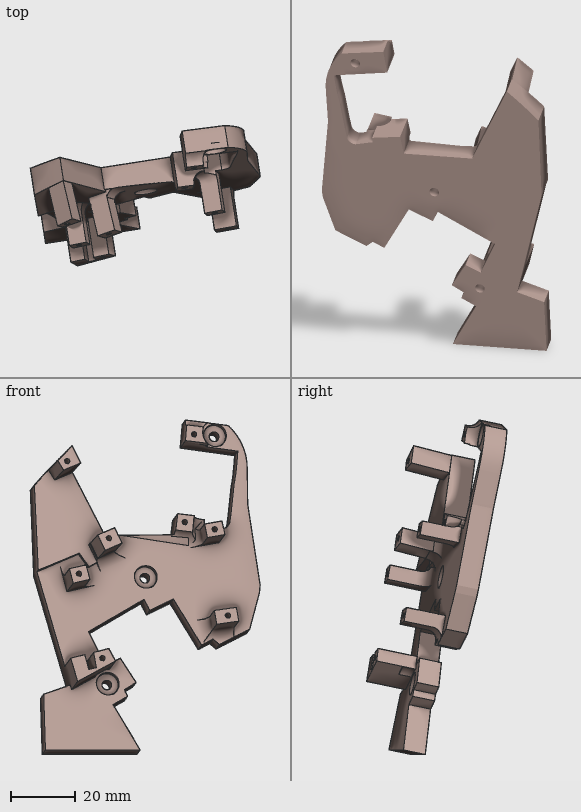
import cadquery as cq


lean_back = 11.7
swing = 8.8
middle_hole_position = (0.2, 1.18, 3.2)

plate_thickness = 7.0
top_edge = 13.2
left_corner = (-34.1, 1.6)
foot_notch = (-24.8, -34.2)
left_shoulder = (-34.3, 28.8)
left_bulge = (-29.9, 33.5)
left_peak = (-24.7, 38.5)
pad_right = (-12.6, top_edge)

screw_hole_diameter = 3.0
screw_head_diameter = 7.1
screw_head_depth = 2.0
clearance_diameter = 9.0
screw_positions = [(0.0, 0.0), (23.1, 44.8), (-13.0, -33.8)]

post_height = 12.5
tall_post_height = 13.1
stub_height = 4.1
pin_hole_diameter = 1.6
pin_hole_depth = 6.0
cove_radius = 3.4

pad_height_at_origin = 0.25
pad_slope_x = 0.075
pad_slope_y = 0.043

gusset_left = -7.6
gusset_right = 13.7
gusset_foot = 9.9
gusset_height = 1.1

oversize = 100.0

flat_plane = cq.Plane.XY()
pad_plane = cq.Plane(
    origin=(0, 0, pad_height_at_origin),
    xDir=(1, 0, -pad_slope_x),
    normal=(pad_slope_x, pad_slope_y, 1),
)

posts = [
    (flat_plane, (-22.8, -1.8), 5.4, 4.7, 13, tall_post_height, ("top", "right"), (-23.0, -1.7)),
    (flat_plane, (20.1, 12.5), 5.6, 4.4, 10, post_height, ("left", "top"), (20.1, 12.5)),
    (flat_plane, (22.95, -14.9), 7.0, 4.4, 8, post_height, ("left", "bottom"), (23.4, -14.8)),
    (flat_plane, (11.9, 16.6), 6.0, 5.8, -7, stub_height, ("right", "bottom"), (12.1, 16.5)),
    (flat_plane, (17.4, 44.3), 9.6, 5.0, -7, stub_height, ("top", "bottom"), (15.9, 44.3)),
    (pad_plane, (-13.95, 8.7), 6.0, 5.35, 24, post_height, ("right", "bottom"), (-14.25, 8.95)),
]

peak_post_outline = [(-24.75, 38.4), (-22.2, 32.9), (-27.75, 30.5), (-29.6, 33.6)]
peak_post_pin = (-26.5, 33.4)
forked_post_pin = (-16.4, -28.3)


def on_left_edge(y):
    """Point at height y on the line from the left corner through the foot notch."""
    share = (y - left_corner[1]) / (foot_notch[1] - left_corner[1])
    return (left_corner[0] + share * (foot_notch[0] - left_corner[0]), y)


forked_post_outline = [
    on_left_edge(-28.3),
    (-21.9, -27.2),
    (-20.8, -31.9),
    (-18.4, -31.3),
    (-19.1, -26.5),
    (-14.3, -25.2),
    (-12.3, -29.2),
    on_left_edge(-35.7),
]


def plate_outline():
    return (
        cq.Workplane(flat_plane)
        .moveTo(-33.2, -54.75)
        .lineTo(-33.2, -37.1)
        .lineTo(*foot_notch)
        .lineTo(*left_corner)
        .lineTo(*left_shoulder)
        .threePointArc(left_bulge, left_peak)
        .lineTo(*pad_right)
        .lineTo(9.1, top_edge)
        .lineTo(10.0, 19.2)
        .lineTo(18.9, 18.1)
        .lineTo(18.9, 16.5)
        .lineTo(24.3, 15.3)
        .threePointArc((25.9, 15.9), (26.9, 17.4))
        .lineTo(27.4, 20.4)
        .lineTo(28.6, 29.3)
        .lineTo(29.3, 33.0)
        .lineTo(29.8, 36.9)
        .lineTo(30.1, 39.8)
        .lineTo(13.1, 42.2)
        .lineTo(14.0, 49.65)
        .lineTo(27.3, 47.95)
        .threePointArc((31.2, 42.6), (32.9, 34.0))
        .lineTo(32.7, 23.0)
        .lineTo(35.8, -2.6)
        .lineTo(35.5, -5.0)
        .lineTo(32.1, -16.5)
        .lineTo(22.4, -21.4)
        .lineTo(20.4, -19.7)
        .lineTo(16.8, -21.6)
        .lineTo(8.4, -7.0)
        .lineTo(0.9, -10.6)
        .lineTo(-0.8, -7.1)
        .lineTo(-18.5, -17.3)
        .lineTo(-13.5, -28.0)
        .lineTo(-8.8, -25.7)
        .lineTo(-4.1, -33.4)
        .lineTo(-7.8, -35.7)
        .lineTo(-6.9, -37.8)
        .lineTo(-11.5, -40.4)
        .lineTo(-3.5, -54.75)
        .close()
    )


def make_pad():
    blank = (
        cq.Workplane(flat_plane)
        .moveTo(*left_corner)
        .lineTo(*left_shoulder)
        .threePointArc(left_bulge, left_peak)
        .lineTo(*pad_right)
        .lineTo(-10.3, 7.2)
        .lineTo(-18.0, 2.9)
        .lineTo(-20.9, 7.2)
        .close()
        .extrude(post_height)
    )
    above_pad = cq.Workplane(pad_plane).rect(oversize, oversize).extrude(oversize)
    return blank.cut(above_pad)


def make_gusset():
    left = cq.Vector(gusset_left, top_edge, 0)
    right = cq.Vector(gusset_right, top_edge, 0)
    foot = cq.Vector(gusset_right, gusset_foot, 0)
    crest = cq.Vector(gusset_right, top_edge, gusset_height)
    triangles = [(left, right, foot), (left, right, crest), (right, foot, crest), (left, foot, crest)]
    faces = [cq.Face.makeFromWires(cq.Wire.makePolygon(corners, close=True)) for corners in triangles]
    return cq.Workplane(cq.Solid.makeSolid(cq.Shell.makeShell(faces)))


def make_post(plane, center, width, depth, turn, height):
    return (
        cq.Workplane(plane)
        .center(*center)
        .transformed(rotate=(0, 0, turn))
        .rect(width, depth)
        .extrude(height)
    )


def make_coves(center, width, depth, turn, sides):
    """Skirt around a post whose listed sides sweep up from the plate in a quarter circle."""
    reach = {side: cove_radius if side in sides else 0 for side in ("left", "right", "bottom", "top")}
    left = -width / 2 - reach["left"]
    right = width / 2 + reach["right"]
    bottom = -depth / 2 - reach["bottom"]
    top = depth / 2 + reach["top"]
    skirt = cq.Workplane(flat_plane).box(right - left, top - bottom, cove_radius, centered=False)
    skirt = skirt.translate((left, bottom, 0))
    rollers = {
        "left": ("XZ", left),
        "right": ("XZ", right),
        "bottom": ("YZ", bottom),
        "top": ("YZ", top),
    }
    for side in sides:
        plane, edge = rollers[side]
        roller = cq.Workplane(plane).center(edge, cove_radius).circle(cove_radius)
        skirt = skirt.cut(roller.extrude(oversize, both=True))
    return skirt.rotate((0, 0, 0), (0, 0, 1), turn).translate((*center, 0))


def make_bore(plane, position, top, diameter, depth):
    """Cylinder that ends at height top above the plane and reaches depth below it."""
    start = cq.Workplane(plane).workplane(offset=top - depth)
    return start.center(*position).circle(diameter / 2).extrude(depth)


def make_pin_hole(plane, position, top):
    return make_bore(plane, position, top, pin_hole_diameter, pin_hole_depth)


def add_rectangular_posts(body):
    within_plate = plate_outline().extrude(tall_post_height)
    for plane, center, width, depth, turn, height, sides, pin in posts:
        post = make_post(plane, center, width, depth, turn, height)
        coves = make_coves(center, width, depth, turn, sides)
        if plane is flat_plane:
            post = post.intersect(within_plate)
        body = body.union(post).union(coves.intersect(within_plate))
        body = body.cut(make_pin_hole(plane, pin, height))
    return body


def add_irregular_post(body, plane, outline, pin):
    post = cq.Workplane(plane).polyline(outline).close().extrude(post_height)
    return body.union(post).cut(make_pin_hole(plane, pin, post_height))


def cut_screw_hole(body, position):
    """Through hole with a counterbore, and room for a driver over it between the posts."""
    clearance = make_bore(flat_plane, position, stub_height, clearance_diameter, stub_height)
    head = make_bore(flat_plane, position, 0, screw_head_diameter, screw_head_depth)
    shank = make_bore(flat_plane, position, 0, screw_hole_diameter, plate_thickness)
    return body.cut(clearance).cut(head).cut(shank)


body = plate_outline().extrude(-plate_thickness)
body = body.union(make_pad()).union(make_gusset())
body = add_rectangular_posts(body)
body = add_irregular_post(body, pad_plane, peak_post_outline, peak_post_pin)
body = add_irregular_post(body, flat_plane, forked_post_outline, forked_post_pin)
for screw_position in screw_positions:
    body = cut_screw_hole(body, screw_position)
body = body.clean()

result = (
    body.rotate((0, 0, 0), (1, 0, 0), 90 - lean_back)
    .rotate((0, 0, 0), (0, 0, 1), swing)
    .translate(middle_hole_position)
)